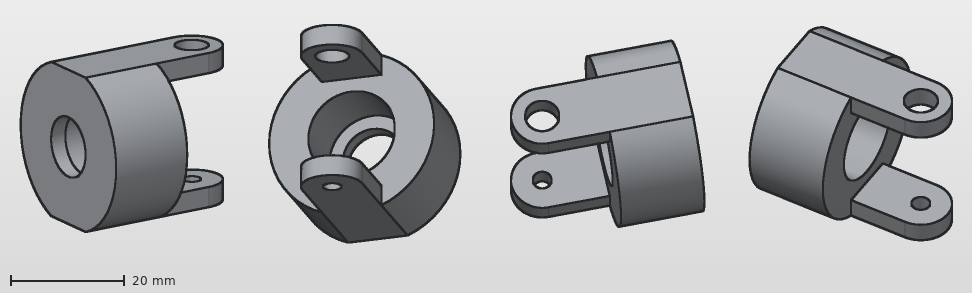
import cadquery as cq
import math

arm_width = 11.0
arm_thickness = 3.75
flat_to_flat = 28.5
body_length = 15.0
overall_length = 31.5
bore_diameter = 11.0
front_wall = 3.0
cavity_diameter = 16.0
upper_hole_diameter = 6.0
lower_hole_diameter = 3.3

half_height = flat_to_flat / 2
body_radius = math.hypot(arm_width / 2, half_height)
pivot_y = overall_length - arm_width / 2


def cylinder_along_y(diameter, start_y, end_y):
    """Cylinder on the Y axis running from start_y to end_y."""
    profile = cq.Workplane("XZ", origin=(0, start_y, 0)).circle(diameter / 2)
    return profile.extrude(start_y - end_y)


def make_body():
    """Round body, flattened at the top and bottom."""
    drum = cylinder_along_y(2 * body_radius, 0, body_length)
    slab = cq.Workplane("XY").box(2 * body_radius, 2 * body_length, flat_to_flat)
    return drum.intersect(slab)


def make_arm(bottom_z, hole_diameter):
    """Flat arm with a rounded, drilled end, standing on the rear face of the body."""
    half_width = arm_width / 2
    arm = (
        cq.Workplane("XY", origin=(0, 0, bottom_z))
        .moveTo(-half_width, body_length)
        .lineTo(-half_width, pivot_y)
        .threePointArc((0, overall_length), (half_width, pivot_y))
        .lineTo(half_width, body_length)
        .close()
        .extrude(arm_thickness)
    )
    hole = (
        cq.Workplane("XY", origin=(0, pivot_y, bottom_z))
        .circle(hole_diameter / 2)
        .extrude(arm_thickness)
    )
    return arm.cut(hole)


upper_arm = make_arm(half_height - arm_thickness, upper_hole_diameter)
lower_arm = make_arm(-half_height, lower_hole_diameter)
bore = cylinder_along_y(bore_diameter, 0, front_wall)
cavity = cylinder_along_y(cavity_diameter, front_wall, body_length)

body = make_body().cut(bore).cut(cavity)
result = body.union(upper_arm).union(lower_arm).clean()